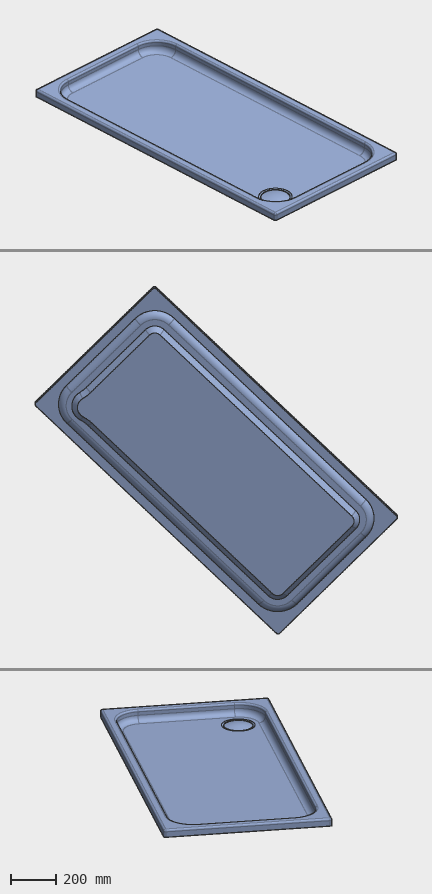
import cadquery as cq
import math

OUTER_LENGTH = 1506.0
OUTER_WIDTH = 756.0
HEIGHT = 86.0

TURN_ANGLE = 0.08
TURN_SINE = math.sin(math.radians(TURN_ANGLE))
LENGTH = OUTER_LENGTH - OUTER_WIDTH * TURN_SINE
WIDTH = OUTER_WIDTH - OUTER_LENGTH * TURN_SINE

RIM_HEIGHT = 36.0
EDGE_RADIUS = 9.8

BASIN_INSET = 36.0
BASIN_CORNER_RADIUS = 125.0
LIP_RADIUS = 9.0
COVE_RADIUS = 29.0
BASIN_DEPTH = 54.0
SHELL_THICKNESS = 6.8
FLOOR_Z = HEIGHT - BASIN_DEPTH
UNDERSIDE_Z = FLOOR_Z - SHELL_THICKNESS
WALL_INSET = BASIN_INSET + LIP_RADIUS
WALL_CORNER_RADIUS = BASIN_CORNER_RADIUS - LIP_RADIUS
RIM_BOTTOM_Z = HEIGHT - RIM_HEIGHT

FOOT_INSET = 128.0
FOOT_CORNER_RADIUS = BASIN_INSET + BASIN_CORNER_RADIUS - FOOT_INSET
FOOT_FLARE_ANGLE = 45.0
FOOT_BULGE_RADIUS = 48.0
FOOT_BLEND_RADIUS = 180.0

DRAIN_X = 583.0
DRAIN_Y = -210.0
COVER_DIAMETER = 130.0
COVER_RADIUS = COVER_DIAMETER / 2
RECESS_RADIUS = 74.0
RECESS_DEPTH = 5.0
COVER_EDGE_HEIGHT = 3.0
COVER_DOME_RISE = 9.0


def rounded_block(inset, corner_radius, bottom_z, top_z):
    """Block inset from the outer edges of the tray, with rounded vertical corners."""
    return (
        cq.Workplane("XY", origin=(0, 0, bottom_z))
        .rect(LENGTH - 2 * inset, WIDTH - 2 * inset)
        .extrude(top_z - bottom_z)
        .edges("|Z")
        .fillet(corner_radius)
    )


def make_rim():
    """Outer slab with its vertical corners and top edge rounded."""
    rim = rounded_block(0, EDGE_RADIUS, RIM_BOTTOM_Z, HEIGHT)
    return rim.faces(">Z").edges().fillet(EDGE_RADIUS)


def make_shell_outside():
    """Underside of the basin, parallel to its inner wall and cove."""
    outside = rounded_block(
        WALL_INSET - SHELL_THICKNESS,
        WALL_CORNER_RADIUS + SHELL_THICKNESS,
        UNDERSIDE_Z,
        RIM_BOTTOM_Z + RIM_HEIGHT / 2,
    )
    return outside.faces("<Z").edges().fillet(COVE_RADIUS + SHELL_THICKNESS)


def make_foot():
    """Flared foot whose outline bulges around the drain."""
    around_drain = cq.selectors.BoxSelector(
        (DRAIN_X - FOOT_BULGE_RADIUS, DRAIN_Y - FOOT_BULGE_RADIUS, -FOOT_BULGE_RADIUS),
        (DRAIN_X + FOOT_BULGE_RADIUS, DRAIN_Y + FOOT_BULGE_RADIUS, FOOT_BULGE_RADIUS),
    )
    outline = (
        cq.Sketch()
        .rect(LENGTH - 2 * FOOT_INSET, WIDTH - 2 * FOOT_INSET)
        .vertices()
        .fillet(FOOT_CORNER_RADIUS)
        .reset()
        .push([(DRAIN_X, DRAIN_Y)])
        .circle(FOOT_BULGE_RADIUS)
        .clean()
        .reset()
        .vertices(around_drain)
        .fillet(FOOT_BLEND_RADIUS)
    )
    return cq.Workplane("XY").placeSketch(outline).extrude(UNDERSIDE_Z, taper=-FOOT_FLARE_ANGLE)


def make_basin_cut():
    """Hollow of the basin: rounded lip, upright wall, cove and flat floor."""
    hollow = rounded_block(WALL_INSET, WALL_CORNER_RADIUS, FLOOR_Z, HEIGHT)
    return hollow.faces("<Z").edges().fillet(COVE_RADIUS)


def make_drain_recess():
    """Shallow tapered seat for the drain cover."""
    return (
        cq.Workplane("XY", origin=(DRAIN_X, DRAIN_Y, FLOOR_Z - RECESS_DEPTH))
        .circle(COVER_RADIUS)
        .workplane(offset=RECESS_DEPTH)
        .circle(RECESS_RADIUS)
        .loft(ruled=True)
    )


def make_tray():
    """Rim, basin shell and foot as one body, with the lip of the basin rounded over."""
    tray = make_rim().union(make_shell_outside()).union(make_foot()).cut(make_basin_cut())
    lip_x = LENGTH / 2 - BASIN_INSET
    lip_y = WIDTH / 2 - BASIN_INSET
    lip_edges = cq.selectors.BoxSelector(
        (-lip_x, -lip_y, HEIGHT - LIP_RADIUS / 2),
        (lip_x, lip_y, HEIGHT + LIP_RADIUS / 2),
    )
    tray = tray.edges(lip_edges).fillet(LIP_RADIUS)
    return tray.cut(make_drain_recess())


def make_cover():
    """Round drain cover with a shallow spherical dome on top."""
    dome_radius = (COVER_RADIUS**2 + COVER_DOME_RISE**2) / (2 * COVER_DOME_RISE)
    apex_z = COVER_EDGE_HEIGHT + COVER_DOME_RISE
    mid_radius = COVER_RADIUS / 2
    mid_z = apex_z - dome_radius + math.sqrt(dome_radius**2 - mid_radius**2)
    return (
        cq.Workplane("XZ")
        .lineTo(COVER_RADIUS, 0)
        .lineTo(COVER_RADIUS, COVER_EDGE_HEIGHT)
        .threePointArc((mid_radius, mid_z), (0, apex_z))
        .close()
        .revolve()
        .translate((DRAIN_X, DRAIN_Y, FLOOR_Z - RECESS_DEPTH))
    )


def turned(body):
    """Turn a body about the vertical axis through the centre of the tray."""
    return body.rotate((0, 0, 0), (0, 0, 1), TURN_ANGLE)


tray = make_tray()
drain_cover = make_cover()

result = cq.Compound.makeCompound([turned(tray).val(), turned(drain_cover).val()])